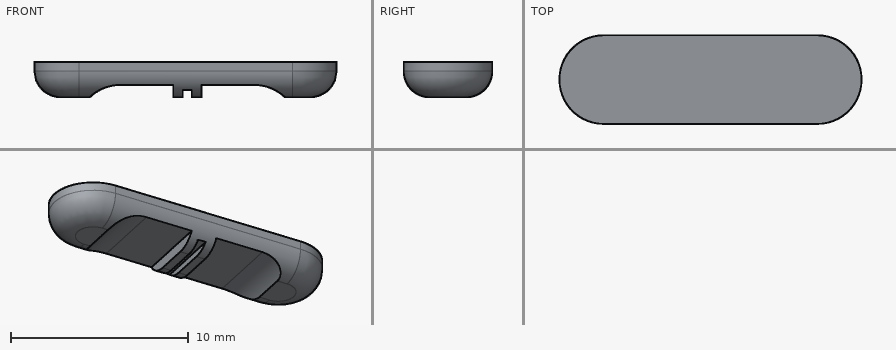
import cadquery as cq
import math

length = 17.0
width = 5.0
height = 2.0
bottom_radius = 1.5

recess_offset = 0.1
recess_length = 10.98
recess_depth = 0.7
recess_end_radius = 2.5
tab_length = 1.6
notch_length = 0.5
notch_depth = 0.4


def make_body():
    """Flat-topped bar with round ends, its underside at Z = 0."""
    outline = cq.Workplane("XY").slot2D(length, width)
    return outline.extrude(height).faces("<Z").edges().fillet(bottom_radius)


def cut_across_width(profile):
    """Extrude an XZ profile through the full width of the body."""
    return profile.extrude(width / 2, both=True)


def make_recess():
    """Shallow trough whose ends curve tangentially out of its flat roof."""
    half_length = recess_length / 2
    end_run = math.sqrt(recess_end_radius**2 - (recess_end_radius - recess_depth)**2)
    half_roof = half_length - end_run

    half_angle = math.asin(end_run / recess_end_radius) / 2
    mid_x = half_roof + recess_end_radius * math.sin(half_angle)
    mid_z = recess_depth - recess_end_radius * (1 - math.cos(half_angle))

    profile = (
        cq.Workplane("XZ", origin=(recess_offset, 0, 0))
        .moveTo(-half_length, 0)
        .threePointArc((-mid_x, mid_z), (-half_roof, recess_depth))
        .lineTo(half_roof, recess_depth)
        .threePointArc((mid_x, mid_z), (half_length, 0))
        .close()
    )
    return cut_across_width(profile)


def make_block(block_length, block_height):
    """Block rising from the underside, centred on the recess."""
    profile = (
        cq.Workplane("XZ", origin=(recess_offset, 0, 0))
        .center(0, block_height / 2)
        .rect(block_length, block_height)
    )
    return cut_across_width(profile)


tab = make_block(tab_length, recess_depth)
notch = make_block(notch_length, notch_depth)

result = make_body().cut(make_recess().cut(tab)).cut(notch)